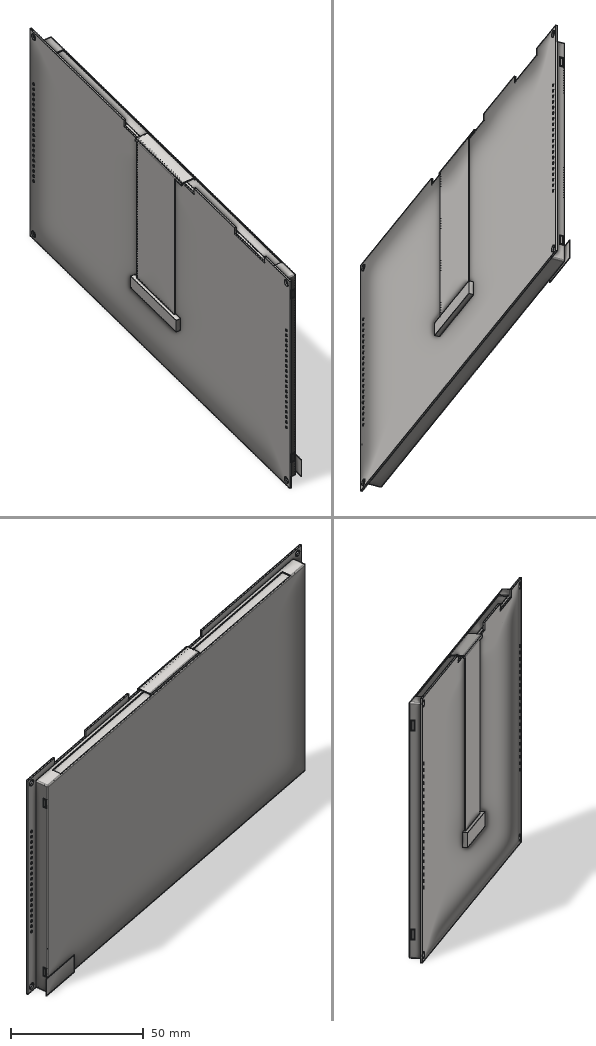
import cadquery as cq

module_thickness = 9.3

board_width = 175.0
board_height = 103.0
board_thickness = 0.7
board_front = -2.6
board_back = board_front + board_thickness
board_top = board_height / 2
board_bottom = -board_height / 2

mount_hole_diameter = 2.6
mount_hole_inset = 2.5
pin_hole_diameter = 1.0
pin_hole_count = 20
pin_row_length = 48.3
pin_row_middle_z = 1.4

cable_notch_left, cable_notch_right = -24.0, 23.0
side_notch_left, side_notch_right = 50.4, 70.4
notch_depth = 3.0
notch_floor = board_top - notch_depth

bezel_width = 164.8
bezel_height = 100.0
bezel_depth = 5.6
bezel_wall = 0.5
bezel_edge_radius = 0.5
bezel_back = board_back + bezel_depth
bezel_top = board_bottom + bezel_height
bezel_middle_z = board_bottom + bezel_height / 2

window_width = 147.0
window_front, window_back = -0.7, 3.2

slot_front, slot_back = 1.4, 3.0
slot_height = 4.2
slot_heights_z = (39.4, -42.2)
lug_clearance = 0.4

panel_width = bezel_width - 2 * bezel_wall
panel_height = bezel_height - 2 * bezel_wall
panel_back = bezel_back - bezel_wall
panel_top = bezel_top - bezel_wall

connector_left, connector_right = -16.6, 14.0
connector_top = -19.8
connector_height = 5.8
connector_front = -module_thickness / 2

cable_thickness = 0.44
cable_bend_radius = 0.7
board_to_cable_gap = 0.26
cable_front = board_front - board_to_cable_gap - cable_thickness
cable_back = 3.0
cable_top = notch_floor + cable_thickness
cable_shoulder_drop = 1.2
cable_head_half_width = 15.5
cable_tail_left, cable_tail_right = -14.5, 10.8

tab_left, tab_right = 66.7, 84.7
tab_bottom = -51.1
tab_height = 8.2
tab_thickness = 0.2
tab_back = module_thickness / 2


def block(x_range, y_range, z_range):
    """Box between two limits on each axis."""
    return cq.Workplane("XY").box(
        x_range[1] - x_range[0],
        y_range[1] - y_range[0],
        z_range[1] - z_range[0],
        centered=False,
    ).translate((x_range[0], y_range[0], z_range[0]))


def drill(points, diameter):
    """Cylinders along Y through the whole board, at (x, z) points."""
    return (
        cq.Workplane("XZ", origin=(0, board_back, 0))
        .pushPoints(points)
        .circle(diameter / 2)
        .extrude(board_thickness)
    )


def make_board():
    half_width = board_width / 2
    board = block((-half_width, half_width), (board_front, board_back), (board_bottom, board_top))

    for left, right in ((cable_notch_left, cable_notch_right), (side_notch_left, side_notch_right)):
        board = board.cut(block((left, right), (board_front, board_back), (notch_floor, board_top)))

    hole_x = half_width - mount_hole_inset
    hole_z = board_top - mount_hole_inset
    mount_points = [(x, z) for x in (-hole_x, hole_x) for z in (-hole_z, hole_z)]
    board = board.cut(drill(mount_points, mount_hole_diameter))

    pin_pitch = pin_row_length / (pin_hole_count - 1)
    lowest_pin_z = pin_row_middle_z - pin_row_length / 2
    pin_points = [
        (x, lowest_pin_z + row * pin_pitch)
        for x in (-hole_x, hole_x)
        for row in range(pin_hole_count)
    ]
    return board.cut(drill(pin_points, pin_hole_diameter))


def make_panel_core():
    """Plain panel block that fills the inside of the bezel."""
    half_width = panel_width / 2
    panel_bottom = panel_top - panel_height
    return block(
        (-half_width, half_width),
        (board_back, panel_back),
        (panel_bottom, panel_top),
    )


def side_blocks(slot_z, clearance):
    """Blocks as deep as the bezel's side walls, smaller than a slot by the clearance all round."""
    half_height = slot_height / 2 - clearance
    y_range = (slot_front + clearance, slot_back - clearance)
    z_range = (slot_z - half_height, slot_z + half_height)
    inner_x, outer_x = panel_width / 2, bezel_width / 2
    left = block((-outer_x, -inner_x), y_range, z_range)
    right = block((inner_x, outer_x), y_range, z_range)
    return left, right


def make_bezel():
    """Tray open toward the board, with a top window for the cable and slots for the panel lugs."""
    bezel = (
        cq.Workplane("XY")
        .box(bezel_width, bezel_depth, bezel_height)
        .translate((0, board_back + bezel_depth / 2, bezel_middle_z))
        .edges("|Y or >Y")
        .fillet(bezel_edge_radius)
        .cut(make_panel_core())
    )
    half_window = window_width / 2
    bezel = bezel.cut(
        block((-half_window, half_window), (window_front, window_back), (panel_top, bezel_top))
    )
    for slot_z in slot_heights_z:
        for slot in side_blocks(slot_z, 0):
            bezel = bezel.cut(slot)
    return bezel


def make_panel():
    """Panel with small side lugs that sit in the bezel's slots."""
    panel = make_panel_core()
    for slot_z in slot_heights_z:
        for lug in side_blocks(slot_z, lug_clearance):
            panel = panel.union(lug)
    return panel


def make_cable():
    """Strip folded over the top edge: a wide head, then a narrower tail down to the connector."""
    head_x = (-cable_head_half_width, cable_head_half_width)
    inner_front = cable_front + cable_thickness
    inner_back = cable_back - cable_thickness
    inner_top = cable_top - cable_thickness
    shoulder_z = cable_top - cable_shoulder_drop

    top_run = block(head_x, (cable_front, cable_back), (inner_top, cable_top))
    front_leg = block(head_x, (cable_front, inner_front), (shoulder_z, inner_top))
    back_leg = block(head_x, (inner_back, cable_back), (panel_top, inner_top))
    head = top_run.union(front_leg).union(back_leg)
    head = head.edges("|X and >Z").fillet(cable_bend_radius)

    tail = block(
        (cable_tail_left, cable_tail_right), (cable_front, inner_front), (connector_top, shoulder_z)
    )
    return head.union(tail)


def make_connector():
    return block(
        (connector_left, connector_right),
        (connector_front, board_front),
        (connector_top - connector_height, connector_top),
    )


def make_pull_tab():
    return block(
        (tab_left, tab_right),
        (tab_back - tab_thickness, tab_back),
        (tab_bottom, tab_bottom + tab_height),
    )


board = make_board()
bezel = make_bezel()
panel = make_panel()
cable = make_cable()
connector = make_connector()
pull_tab = make_pull_tab()

result = cq.Compound.makeCompound(
    [board.val(), bezel.val(), panel.val(), cable.val(), connector.val(), pull_tab.val()]
)